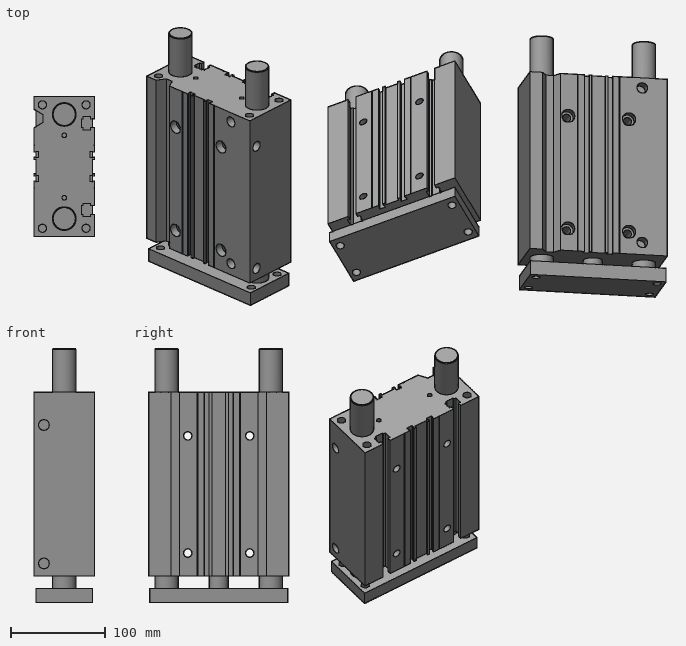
import cadquery as cq

total_height = 268.0
housing_x = 64.0
housing_y = 148.0
housing_bottom = 28.0
housing_top = 222.0
housing_height = housing_top - housing_bottom
side_x = housing_x / 2
side_y = housing_y / 2

plate_x = 60.0
plate_y = 146.0
plate_thickness = 15.0
guide_diameter = 25.0
guide_offset_y = 55.0
guide_chamfer = 0.8
piston_diameter = 20.0

corner_hole_diameter = 8.5
corner_hole_depth = 21.5
housing_corner_x = 23.0
plate_corner_x = 20.0
corner_offset_y = 65.0

vent_diameter = 4.8
vent_depth = 8.0
vent_offset_y = 33.0

mount_diameter = 8.5
mount_bore_diameter = 14.0
mount_bore_depth = 9.0
mount_offset_y = 32.7
mount_heights = (52.3, 175.8)

port_diameter = 11.3
port_depth = 13.5
side_port_y = -47.0
side_port_heights = (41.3, 211.0)
end_port_x = -21.5
end_port_heights = (41.3, 187.3)

channel_center_y = 50.7
channel_mouth = 19.5
channel_floor = 8.0
channel_depth = 9.6

t_slot_offset_y = 45.8
t_slot_neck = 9.0
t_slot_width = 14.2
t_slot_lip = 4.3
t_slot_shoulder = 12.3
t_slot_depth = 14.0

sensor_offset_y = 12.5
sensor_neck = 5.0
sensor_width = 6.5
sensor_lip = 2.5
sensor_depth = 5.0
recess_width = 14.7
recess_depth = 2.5
groove_offset_y = 22.5
groove_width = 0.8
groove_depth = 0.3


def slot(side, center_y, width, start, end):
    """Full-height rectangular cut between two depths below the X face on the given side."""
    near = side_x - start
    far = side_x - end
    return (
        cq.Workplane("XY", origin=(side * (near + far) / 2, center_y, housing_bottom))
        .rect(near - far, width)
        .extrude(housing_height)
    )


def channel():
    """Full-height channel with sloped walls in the -X face."""
    floor_x = -side_x + channel_depth
    return (
        cq.Workplane("XY", origin=(0, channel_center_y, housing_bottom))
        .polyline([
            (-side_x, -channel_mouth / 2),
            (floor_x, -channel_floor / 2),
            (floor_x, channel_floor / 2),
            (-side_x, channel_mouth / 2),
        ])
        .close()
        .extrude(housing_height)
    )


def t_slot(center_y):
    """T-slot in the +X face, with a relief along the middle of its floor."""
    relief = slot(1, center_y, t_slot_neck, 0, t_slot_depth)
    return relief.union(slot(1, center_y, t_slot_width, t_slot_lip, t_slot_shoulder))


def sensor_slot(side, center_y):
    """Narrow-mouthed slot that widens behind its lips."""
    mouth = slot(side, center_y, sensor_neck, 0, sensor_depth)
    return mouth.union(slot(side, center_y, sensor_width, sensor_lip, sensor_depth))


def side_hole(y, z, diameter, depth):
    """Round hole drilled from the -X face along +X."""
    return cq.Workplane("YZ", origin=(-side_x, y, z)).circle(diameter / 2).extrude(depth)


def end_hole(x, z, diameter, depth):
    """Round hole drilled from the -Y face along +Y."""
    return cq.Workplane("XZ", origin=(x, -side_y, z)).circle(diameter / 2).extrude(-depth)


def make_housing():
    body = (
        cq.Workplane("XY", origin=(0, 0, housing_bottom))
        .rect(housing_x, housing_y)
        .extrude(housing_height)
    )

    body = (
        body.faces(">Z")
        .workplane(origin=(0, 0, housing_top))
        .pushPoints([(0, -guide_offset_y), (0, guide_offset_y)])
        .hole(guide_diameter)
    )

    body = body.cut(channel())
    for y_side in (-1, 1):
        body = body.cut(t_slot(y_side * t_slot_offset_y))
    for x_side in (-1, 1):
        body = body.cut(slot(x_side, 0, recess_width, 0, recess_depth))
        for y_side in (-1, 1):
            body = body.cut(sensor_slot(x_side, y_side * sensor_offset_y))
            body = body.cut(slot(x_side, y_side * groove_offset_y, groove_width, 0, groove_depth))

    top_holes = (
        cq.Workplane("XY", origin=(0, 0, housing_top))
        .rect(2 * housing_corner_x, 2 * corner_offset_y, forConstruction=True)
        .vertices()
        .circle(corner_hole_diameter / 2)
        .extrude(-corner_hole_depth)
    )
    vents = (
        cq.Workplane("XY", origin=(0, 0, housing_top))
        .pushPoints([(0, -vent_offset_y), (0, vent_offset_y)])
        .circle(vent_diameter / 2)
        .extrude(-vent_depth)
    )
    body = body.cut(top_holes).cut(vents)

    for z in mount_heights:
        for y in (-mount_offset_y, mount_offset_y):
            body = body.cut(side_hole(y, z, mount_diameter, housing_x))
            body = body.cut(side_hole(y, z, mount_bore_diameter, mount_bore_depth))

    for z in side_port_heights:
        body = body.cut(side_hole(side_port_y, z, port_diameter, port_depth))
    for z in end_port_heights:
        body = body.cut(end_hole(end_port_x, z, port_diameter, port_depth))
    return body


def guide_rod(y):
    """Guide rod standing on the plate, passing through the housing, chamfered at its top."""
    return (
        cq.Workplane("XY", origin=(0, y, plate_thickness))
        .circle(guide_diameter / 2)
        .extrude(total_height - plate_thickness)
        .faces(">Z")
        .chamfer(guide_chamfer)
    )


def make_slide():
    """End plate in one piece with the guide rods and the piston rod."""
    plate = (
        cq.Workplane("XY")
        .rect(plate_x, plate_y)
        .extrude(plate_thickness)
        .faces(">Z")
        .workplane()
        .rect(2 * plate_corner_x, 2 * corner_offset_y, forConstruction=True)
        .vertices()
        .hole(corner_hole_diameter)
    )
    piston_rod = (
        cq.Workplane("XY", origin=(0, 0, plate_thickness))
        .circle(piston_diameter / 2)
        .extrude(housing_bottom - plate_thickness)
    )
    slide = plate.union(piston_rod)
    for y in (-guide_offset_y, guide_offset_y):
        slide = slide.union(guide_rod(y))
    return slide


housing = make_housing()
slide = make_slide()
result = cq.Compound.makeCompound([housing.val(), slide.val()])